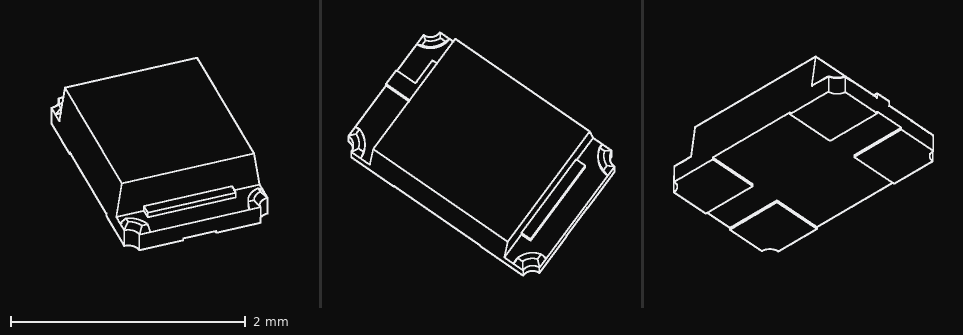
import cadquery as cq

length = 2.0
width = 1.3
height = 0.52

board_top = 0.17
corner_notch_radius = 0.1

body_length = 1.408
body_top_width = 1.2

metal_height = 0.05
metal_top = board_top + metal_height
ring_radius = 2 * corner_notch_radius
edge_slope_angle = 45.0
metal_reach = 0.8
metal_half_width = 0.4
mark_foot_width = 0.15

pad_thickness = 0.02
channel_x_width = 0.9
channel_y_width = 0.3

body_end = body_length / 2


def block(x_min, x_max, y_min, y_max, z_min, z_max):
    """Box given by its limits along each axis."""
    return cq.Workplane("XY").box(
        x_max - x_min, y_max - y_min, z_max - z_min, centered=False
    ).translate((x_min, y_min, z_min))


def make_board():
    return cq.Workplane("XY").box(length, width, board_top, centered=(True, True, False))


def make_body():
    """Block whose long sides lean inward while its ends stay upright."""
    return (
        cq.Workplane("YZ")
        .moveTo(-width / 2, board_top)
        .lineTo(width / 2, board_top)
        .lineTo(body_top_width / 2, height)
        .lineTo(-body_top_width / 2, height)
        .close()
        .extrude(body_end, both=True)
    )


def make_corner_rings():
    """Raised discs at the corners, cut back at 45 degrees along the board edges."""
    discs = (
        cq.Workplane("XY", origin=(0, 0, board_top))
        .rect(length, width, forConstruction=True)
        .vertices()
        .circle(ring_radius)
        .extrude(metal_height)
    )
    sloped_limit = (
        cq.Workplane("XY", origin=(0, 0, board_top))
        .rect(length, width)
        .extrude(metal_height, taper=edge_slope_angle)
    )
    return discs.intersect(sloped_limit)


def make_corner_cutter(x, y):
    """Round notch through the board that flares at 45 degrees through the ring."""
    flare_radius = corner_notch_radius + metal_height
    return (
        cq.Workplane("XZ")
        .polyline([
            (0, 0),
            (corner_notch_radius, 0),
            (corner_notch_radius, board_top),
            (flare_radius, metal_top),
            (0, metal_top),
        ])
        .close()
        .revolve(360, (0, 0), (0, 1))
        .translate((x, y, 0))
    )


def make_polarity_mark():
    """L-shaped mark: a stem beside the body and a foot reaching the board end."""
    stem = block(-metal_reach, -body_end, 0, metal_half_width, board_top, metal_top)
    foot = block(-length / 2, -body_end, 0, mark_foot_width, board_top, metal_top)
    return stem.union(foot)


def make_end_bar():
    return block(body_end, metal_reach, -metal_half_width, metal_half_width, board_top, metal_top)


def make_bottom_channels():
    across = cq.Workplane("XY").rect(channel_x_width, width).extrude(pad_thickness)
    along = cq.Workplane("XY").rect(length, channel_y_width).extrude(pad_thickness)
    return across.union(along)


result = make_board().union(make_body()).union(make_corner_rings())
result = result.union(make_polarity_mark()).union(make_end_bar())
for x_side in (-1, 1):
    for y_side in (-1, 1):
        result = result.cut(make_corner_cutter(x_side * length / 2, y_side * width / 2))
result = result.cut(make_bottom_channels())